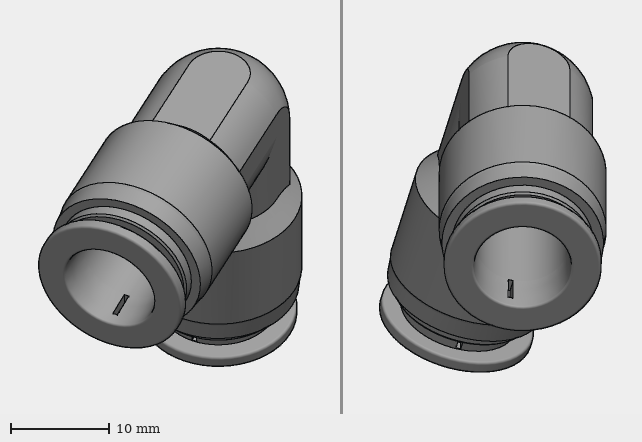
import cadquery as cq
import math

leg_length = 27.2

elbow_half_width = 6.5
flat_half_width = 3.25
elbow_corner_radius = math.hypot(elbow_half_width, flat_half_width)

socket_radius = 8.5
socket_cone_start = 8.65
socket_cone_end = socket_cone_start + socket_radius - elbow_half_width
socket_end = 20.65

cap_start = 20.95
cap_start_radius = 8.4
cap_end = 22.92
cap_end_radius = 8.2

ring_radius = 7.2
ring_end = 24.3
ring_chamfer = 0.2

neck_radius = 6.05
flange_radius = 8.0
flange_thickness = 1.32
flange_start = leg_length - flange_thickness
flange_fillet = 0.3

passage_radius = 4.75
collet_mouth_radius = 4.95
mouth_fillet = 0.25

slot_width = 0.5
slot_flange_gap = 0.1
slot_end = flange_start - slot_flange_gap


def to_y_leg(solid):
    """Turn a solid modelled on the -Z leg onto the -Y leg, +Y side becoming +Z side."""
    return solid.mirror("XY").rotate((0, 0, 0), (1, 0, 0), 90)


def elbow_leg():
    """Plain leg: round on the inner (-Y) half, flat-sided on the outer (+Y) half."""
    length = socket_cone_end
    inner = cq.Workplane("XY").circle(elbow_half_width).extrude(-length)
    outer_round = cq.Workplane("XY").circle(elbow_corner_radius).extrude(-length)
    outer_box = (
        cq.Workplane("XY")
        .center(0, elbow_half_width / 2)
        .rect(2 * elbow_half_width, elbow_half_width)
        .extrude(-length)
    )
    return inner.union(outer_round.intersect(outer_box))


def elbow_corner():
    """Outer corner: a ball trimmed by the flats of both legs."""
    box = cq.Workplane("XY").box(
        2 * elbow_half_width, elbow_half_width, elbow_half_width, centered=(True, False, False)
    )
    return box.intersect(cq.Workplane("XY").sphere(elbow_corner_radius))


def fitting():
    """Socket, cap, ring and collet turned about the -Z leg."""
    profile = (
        cq.Workplane("XZ")
        .moveTo(0, -socket_cone_start)
        .lineTo(elbow_half_width, -socket_cone_start)
        .lineTo(socket_radius, -socket_cone_end)
        .lineTo(socket_radius, -socket_end)
        .lineTo(cap_start_radius, -cap_start)
        .lineTo(cap_end_radius, -cap_end)
        .lineTo(ring_radius, -cap_end)
        .lineTo(ring_radius, -(ring_end - ring_chamfer))
        .lineTo(ring_radius - ring_chamfer, -ring_end)
        .lineTo(neck_radius, -ring_end)
        .lineTo(neck_radius, -flange_start)
        .lineTo(0, -flange_start)
        .close()
    )
    flange = (
        cq.Workplane("XY", origin=(0, 0, -leg_length))
        .circle(flange_radius)
        .extrude(flange_thickness)
        .edges()
        .fillet(flange_fillet)
    )
    return profile.revolve(360, (0, 0, 0), (0, 1, 0)).union(flange)


def passage():
    """Bore of the -Z leg: flow passage, flared collet bore and rounded mouth."""
    mouth_radius = collet_mouth_radius + mouth_fillet
    fillet_start = leg_length - mouth_fillet
    fillet_mid_offset = mouth_fillet * math.sqrt(0.5)
    profile = (
        cq.Workplane("XZ")
        .lineTo(passage_radius, 0)
        .lineTo(passage_radius, -cap_end)
        .lineTo(collet_mouth_radius, -fillet_start)
        .threePointArc(
            (mouth_radius - fillet_mid_offset, -(fillet_start + fillet_mid_offset)),
            (mouth_radius, -leg_length),
        )
        .lineTo(0, -leg_length)
        .close()
    )
    return profile.revolve(360, (0, 0, 0), (0, 1, 0))


def collet_slot():
    """Slot across the collet neck, through both walls."""
    return (
        cq.Workplane("XY", origin=(0, 0, -slot_end))
        .rect(slot_width, 2 * neck_radius)
        .extrude(slot_end - cap_end)
    )


leg = elbow_leg().union(fitting())
leg_cut = passage().union(collet_slot())

body = elbow_corner().union(leg).union(to_y_leg(leg))
passage_ball = cq.Workplane("XY").sphere(passage_radius)
result = body.cut(passage_ball).cut(leg_cut).cut(to_y_leg(leg_cut))